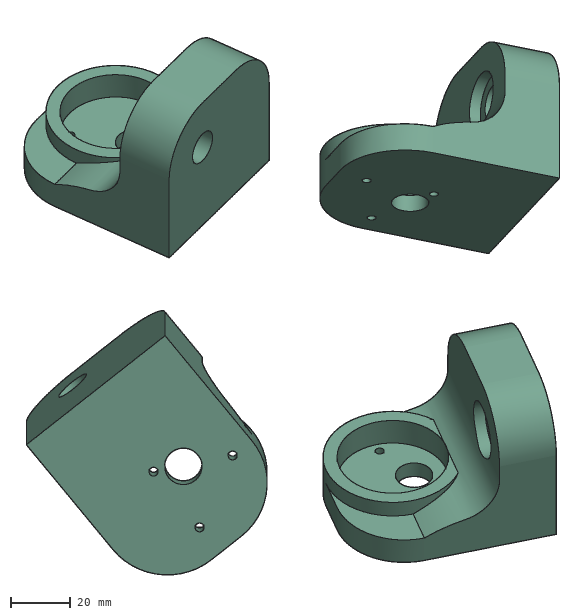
import cadquery as cq
import math

length = 70.0
width = 60.0
height = 55.0

base_height = 10.0
boss_radius = 23.5
boss_height = 16.0
boss_x = boss_radius
boss_y = width - boss_radius

recess_diameter = 37.5
recess_floor = 6.0
shaft_hole_diameter = 12.5
shaft_hole_offset = 7.5
screw_hole_diameter = 3.0
screw_circle_radius = 15.25
screw_angles = (90, 90 + 126, 90 - 126)

wall_thickness = 20.0
wall_x = length - wall_thickness
wall_corner_radius = 20.0

blend_radius = 14.6
blend_top = 29.0
blend_end_angle = math.radians(9.5)

bearing_y = 20.0
bearing_z = 35.0
bearing_hole_diameter = 12.0
bearing_seat_diameter = 20.0
bearing_seat_depth = 4.0


def vertical_cylinder(x, y, diameter, bottom, top):
    return cq.Workplane("XY", origin=(x, y, bottom)).circle(diameter / 2).extrude(top - bottom)


def wall_cylinder(diameter, start_x, end_x):
    plane = cq.Workplane("YZ", origin=(start_x, bearing_y, bearing_z))
    return plane.circle(diameter / 2).extrude(end_x - start_x)


def make_bracket():
    """Side profile extruded across the width, with rounded base and wall corners."""
    center_x = wall_x - blend_radius

    def blend_point(angle):
        """Point on the concave arc, at an angle measured from straight down."""
        return (center_x + blend_radius * math.sin(angle), blend_top - blend_radius * math.cos(angle))

    join = blend_point(blend_end_angle)
    middle = blend_point((math.pi / 2 + blend_end_angle) / 2)

    foot = (boss_x, base_height)

    chord_x = join[0] - foot[0]
    chord_z = join[1] - foot[1]
    chord_angle = math.atan2(chord_z, chord_x)
    crest_radius = math.hypot(chord_x, chord_z) / (2 * math.sin(chord_angle - blend_end_angle))
    crest_x = join[0] + crest_radius * math.sin(blend_end_angle)
    crest_z = join[1] - crest_radius * math.cos(blend_end_angle)

    def crest_point(x):
        return (x, crest_z + math.sqrt(crest_radius**2 - (x - crest_x) ** 2))

    crest_middle = crest_point((boss_x + join[0]) / 2)

    profile = (
        cq.Workplane("XZ")
        .moveTo(0, 0)
        .lineTo(length, 0)
        .lineTo(length, height)
        .lineTo(wall_x, height)
        .lineTo(wall_x, blend_top)
        .threePointArc(middle, join)
        .threePointArc(crest_middle, foot)
        .lineTo(0, base_height)
        .close()
    )
    body = profile.extrude(-width)
    body = body.edges("|X and >Z").fillet(wall_corner_radius)
    return body.edges("|Z and <X").fillet(boss_radius)


def cut_boss_holes(body):
    body = body.cut(vertical_cylinder(boss_x, boss_y, recess_diameter, recess_floor, boss_height))
    body = body.cut(
        vertical_cylinder(boss_x + shaft_hole_offset, boss_y, shaft_hole_diameter, 0, boss_height)
    )
    for angle in screw_angles:
        x = boss_x + screw_circle_radius * math.cos(math.radians(angle))
        y = boss_y + screw_circle_radius * math.sin(math.radians(angle))
        body = body.cut(vertical_cylinder(x, y, screw_hole_diameter, 0, boss_height))
    return body


def cut_bearing_hole(body):
    seat_start = wall_x - blend_radius
    body = body.cut(wall_cylinder(bearing_seat_diameter, seat_start, wall_x + bearing_seat_depth))
    return body.cut(wall_cylinder(bearing_hole_diameter, wall_x, length))


bracket = make_bracket()
boss = vertical_cylinder(boss_x, boss_y, 2 * boss_radius, 0, boss_height)
result = cut_bearing_hole(cut_boss_holes(bracket.union(boss)))